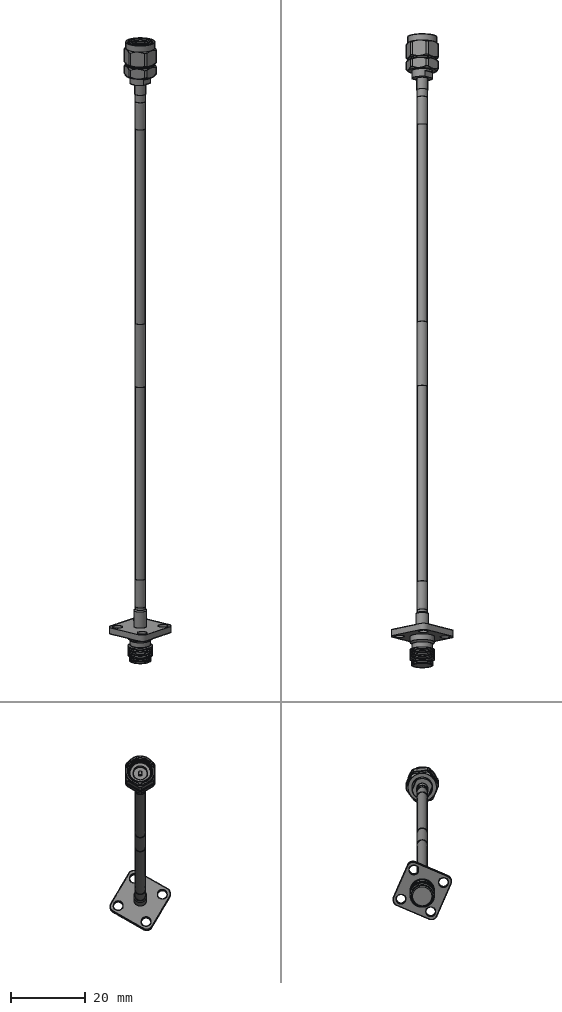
import cadquery as cq
import math


JACK_THREAD_TOP = 4.5
JACK_NECK_TOP = 5.9
FLANGE_BOTTOM = 8.0
FLANGE_TOP = 9.7
JACK_SLEEVE_TOP = 14.5
LOWER_SHRINK_START = 15.3
LOWER_SHRINK_END = 23.0
LABEL_BOTTOM = 77.0
LABEL_TOP = 94.7
UPPER_SHRINK_END = 149.2
UPPER_SHRINK_START = 156.8
FERRULE_STEP = 158.9
COLLAR_BOTTOM = 162.0
NUT_BOTTOM = 164.1
NUT_TOP = 173.5

CABLE_RADIUS = 1.4
LABEL_RADIUS = 1.47
SHRINK_RADIUS = 1.47
SHRINK_CHAMFER_LENGTH = 0.5
SHRINK_CHAMFER_DEPTH = 0.05

FLANGE_SIDE = 12.7
FLANGE_CORNER_RADIUS = 1.5
FLANGE_HOLE_PITCH = 8.7
FLANGE_HOLE_DIAMETER = 2.6
JACK_SLEEVE_RADIUS = 1.7
JACK_SLEEVE_CHAMFER = 0.3
JACK_BOSS_RADIUS = 3.3
JACK_BOSS_CHAMFER = 0.5
JACK_NECK_RADIUS = 2.8
THREAD_RADIUS = 3.3
THREAD_LEAD_RADIUS = 3.0
THREAD_LEAD_TURNS = 2
THREAD_ROOT_RADIUS = 2.6
THREAD_TURNS = 6

NUT_ACROSS_FLATS = 7.8
NUT_SHARP_CORNER_RADIUS = NUT_ACROSS_FLATS / math.sqrt(3)
NUT_CORNER_RADIUS = 4.3
NUT_RIM_HEIGHT = 1.7
NUT_CORNER_CHAMFER = 0.3
NUT_BOTTOM_CHAMFER = 0.5
NUT_GROOVE_HEIGHT = 167.2
NUT_GROOVE_WIDTH = 0.5
NUT_GROOVE_DEPTH = 0.2
NUT_BORE_RADIUS = 3.1
NUT_THREAD_ROOT_RADIUS = 3.5
NUT_THREAD_TURNS = 10
NUT_FLOOR = 165.8

PLUG_SHANK_RADIUS = 2.8
PLUG_SHANK_TOP = 170.0
PLUG_SOCKET_RADIUS = 1.9
PLUG_SOCKET_DEPTH = 1.7
PLUG_PIN_RADIUS = 0.5
COLLAR_RADIUS = 2.8
COLLAR_ACROSS_FLATS = 4.7
COLLAR_ROUND_LENGTH = 0.5
FERRULE_RADIUS = 1.51
FERRULE_TIP_RADIUS = 1.47


def cylinder(radius, bottom, top):
    """A solid cylinder on the Z axis between two heights."""
    return cq.Workplane("XY").workplane(offset=bottom).circle(radius).extrude(top - bottom)


def tube(outer_radius, inner_radius, bottom, top):
    """A hollow cylinder on the Z axis between two heights."""
    return cylinder(outer_radius, bottom, top).cut(cylinder(inner_radius, bottom, top))


def turned(points):
    """A solid of revolution about Z from (radius, height) points."""
    return cq.Workplane("XZ").polyline(points).close().revolve(360, (0, 0, 0), (0, 1, 0))


def ring_thread(bottom, top, root_radius, crest_radii):
    """A solid core with a stack of flat-topped rings, one for each crest radius from the bottom up."""
    pitch = (top - bottom) / len(crest_radii)
    points = [(0, bottom), (root_radius, bottom)]
    for turn, crest_radius in enumerate(crest_radii):
        ring_bottom = bottom + turn * pitch
        points.append((crest_radius, ring_bottom + pitch / 4))
        points.append((crest_radius, ring_bottom + pitch * 3 / 4))
        points.append((root_radius, ring_bottom + pitch))
    points.append((0, top))
    return turned(points)


def make_cable():
    return cylinder(CABLE_RADIUS, JACK_SLEEVE_TOP, UPPER_SHRINK_START)


def make_label():
    return tube(LABEL_RADIUS, CABLE_RADIUS, LABEL_BOTTOM, LABEL_TOP)


def make_shrink_sleeve(bottom, top, chamfered_end):
    """Heat-shrink sleeve, chamfered outside at the end next to its connector."""
    sleeve = cylinder(SHRINK_RADIUS, bottom, top)
    sleeve = sleeve.faces(chamfered_end).chamfer(SHRINK_CHAMFER_LENGTH, SHRINK_CHAMFER_DEPTH)
    return sleeve.cut(cylinder(CABLE_RADIUS, bottom, top))


def make_jack_thread():
    """External thread, lower over the lead at the open end."""
    lead_rings = [THREAD_LEAD_RADIUS] * THREAD_LEAD_TURNS
    full_rings = [THREAD_RADIUS] * (THREAD_TURNS - THREAD_LEAD_TURNS)
    return ring_thread(0, JACK_THREAD_TOP, THREAD_ROOT_RADIUS, lead_rings + full_rings)


def make_flange():
    """Square flange with rounded corners and four mounting holes."""
    flange = (
        cq.Workplane("XY")
        .workplane(offset=FLANGE_BOTTOM)
        .rect(FLANGE_SIDE, FLANGE_SIDE)
        .extrude(FLANGE_TOP - FLANGE_BOTTOM)
        .edges("|Z")
        .fillet(FLANGE_CORNER_RADIUS)
    )
    return (
        flange.faces(">Z")
        .workplane()
        .rect(FLANGE_HOLE_PITCH, FLANGE_HOLE_PITCH, forConstruction=True)
        .vertices()
        .hole(FLANGE_HOLE_DIAMETER)
    )


def make_jack():
    """Flange jack: thread, neck, boss, flange and the sleeve below the cable."""
    neck = cylinder(JACK_NECK_RADIUS, JACK_THREAD_TOP, JACK_NECK_TOP)
    boss = cylinder(JACK_BOSS_RADIUS, JACK_NECK_TOP, FLANGE_BOTTOM)
    boss = boss.faces("<Z").chamfer(JACK_BOSS_CHAMFER)
    sleeve = cylinder(JACK_SLEEVE_RADIUS, FLANGE_TOP, JACK_SLEEVE_TOP)
    sleeve = sleeve.faces(">Z").chamfer(JACK_SLEEVE_CHAMFER)
    return make_jack_thread().union(neck).union(boss).union(make_flange()).union(sleeve)


def make_nut():
    """Hexagonal coupling nut with a round rim, a groove, and a bore for the mating thread."""
    flat_radius = NUT_ACROSS_FLATS / 2
    hex_top = NUT_TOP - NUT_RIM_HEIGHT
    hex_bar = (
        cq.Workplane("XY")
        .workplane(offset=NUT_BOTTOM)
        .polygon(6, 2 * NUT_SHARP_CORNER_RADIUS)
        .extrude(NUT_TOP - NUT_BOTTOM)
        .rotate((0, 0, 0), (0, 0, 1), 30)
    )
    groove_radius = flat_radius - NUT_GROOVE_DEPTH
    groove_bottom = NUT_GROOVE_HEIGHT - NUT_GROOVE_WIDTH / 2
    groove_top = NUT_GROOVE_HEIGHT + NUT_GROOVE_WIDTH / 2
    envelope = turned(
        [
            (0, NUT_BOTTOM),
            (NUT_CORNER_RADIUS - NUT_BOTTOM_CHAMFER, NUT_BOTTOM),
            (NUT_CORNER_RADIUS, NUT_BOTTOM + NUT_BOTTOM_CHAMFER),
            (NUT_CORNER_RADIUS, groove_bottom - NUT_CORNER_CHAMFER),
            (flat_radius, groove_bottom),
            (groove_radius, groove_bottom),
            (groove_radius, groove_top),
            (flat_radius, groove_top),
            (NUT_CORNER_RADIUS, groove_top + NUT_CORNER_CHAMFER),
            (NUT_CORNER_RADIUS, hex_top - NUT_CORNER_CHAMFER),
            (flat_radius, hex_top),
            (flat_radius, NUT_TOP),
            (0, NUT_TOP),
        ]
    )
    bore = ring_thread(NUT_FLOOR, NUT_TOP, NUT_BORE_RADIUS, [NUT_THREAD_ROOT_RADIUS] * NUT_THREAD_TURNS)
    shank_hole = cylinder(PLUG_SHANK_RADIUS, NUT_BOTTOM, NUT_FLOOR)
    return hex_bar.intersect(envelope).cut(bore).cut(shank_hole)


def make_collar():
    """Collar below the nut, with two wrench flats facing along X."""
    collar = cylinder(COLLAR_RADIUS, COLLAR_BOTTOM, NUT_BOTTOM)
    flats_top = NUT_BOTTOM - COLLAR_ROUND_LENGTH
    flats_height = flats_top - COLLAR_BOTTOM
    flats = (
        cq.Workplane("XY")
        .workplane(offset=COLLAR_BOTTOM)
        .rect(COLLAR_ACROSS_FLATS, 2 * COLLAR_RADIUS)
        .extrude(flats_height)
    )
    return collar.intersect(flats.union(cylinder(COLLAR_RADIUS, flats_top, NUT_BOTTOM)))


def make_plug():
    """Plug body: stepped ferrule, collar, and a shank whose socket holds the contact pin."""
    tip = cylinder(FERRULE_TIP_RADIUS, UPPER_SHRINK_START, FERRULE_STEP)
    ferrule = cylinder(FERRULE_RADIUS, FERRULE_STEP, COLLAR_BOTTOM)
    shank = cylinder(PLUG_SHANK_RADIUS, NUT_BOTTOM, PLUG_SHANK_TOP)
    socket_floor = PLUG_SHANK_TOP - PLUG_SOCKET_DEPTH
    socket = tube(PLUG_SOCKET_RADIUS, PLUG_PIN_RADIUS, socket_floor, PLUG_SHANK_TOP)
    return tip.union(ferrule).union(make_collar()).union(shank.cut(socket))


cable = make_cable()
label = make_label()
shrink_sleeves = [
    make_shrink_sleeve(bottom, top, chamfered_end)
    for bottom, top, chamfered_end in [
        (LOWER_SHRINK_START, LOWER_SHRINK_END, "<Z"),
        (UPPER_SHRINK_END, UPPER_SHRINK_START, ">Z"),
    ]
]
jack = make_jack()
nut = make_nut()
plug = make_plug()

result = cq.Compound.makeCompound(
    [
        cable.val(),
        label.val(),
        *[sleeve.val() for sleeve in shrink_sleeves],
        jack.val(),
        nut.val(),
        plug.val(),
    ]
)